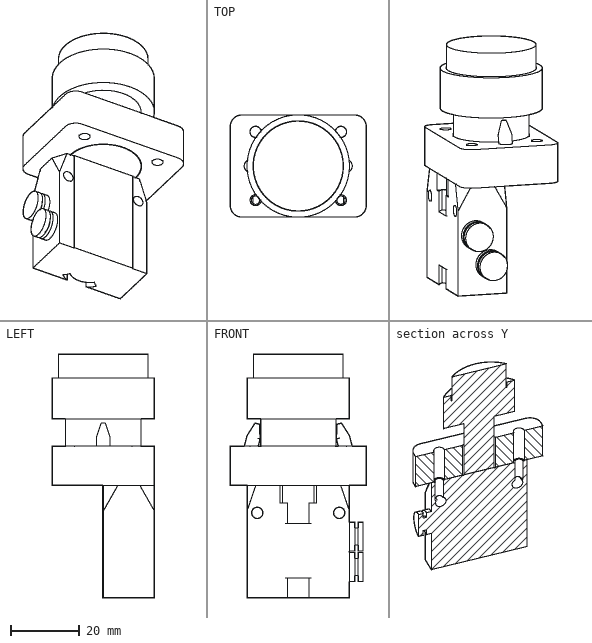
import cadquery as cq
import math

PLATE_LENGTH = 40.0
PLATE_WIDTH = 30.0
PLATE_BOTTOM = 33.0
PLATE_THICKNESS = 11.5
PLATE_TOP = PLATE_BOTTOM + PLATE_THICKNESS
PLATE_CORNER_RADIUS = 3.5
NECK_HOLE_DIAMETER = 22.5
SCREW_HOLE_DIAMETER = 3.2
SCREW_HOLE_X = 12.5
SCREW_HOLE_Y = 10.0

PIN_DIAMETER = 4.0
PIN_TIP_DIAMETER = 1.35
PIN_TILT = 15.0
PIN_CONE_LENGTH = 4.15
PIN_SHOULDER_X = 13.1
PIN_SHOULDER_Z = 47.1
PIN_SHANK_LENGTH = 5.7

NECK_DIAMETER = 22.2
BEZEL_DIAMETER = PLATE_WIDTH
BEZEL_BOTTOM = 52.5
BEZEL_TOP = 64.5
BUTTON_DIAMETER = 26.3
BUTTON_TOP = 71.5
BUTTON_GAP_DIAMETER = 26.5
BUTTON_GAP_DEPTH = 2.0

BLOCK_LENGTH = PLATE_WIDTH
BLOCK_DEPTH = PLATE_WIDTH / 2
BLOCK_FRONT = -BLOCK_DEPTH
BLOCK_HEIGHT = PLATE_BOTTOM
BLOCK_AXIS_Y = -BLOCK_DEPTH / 2
CORNER_CUT_X = 2.6
CORNER_CUT_Y = 4.3
CORNER_CUT_Z = 7.6
BACK_PAD_THICKNESS = 0.2
BACK_PAD_LENGTH = 20.0

CROSS_HOLE_DIAMETER = 3.2
CROSS_HOLE_X = 12.0
CROSS_HOLE_Z = 24.95
PILOT_HOLE_DIAMETER = 2.4
PILOT_HOLE_DEPTH = 7.0

CORE_RADIUS = 6.0
POCKET_RADIUS = 8.15
POCKET_HALF_ANGLE = 44.0
LOWER_POCKET_TOP = 5.85
UPPER_POCKET_BOTTOM = 21.8
NOTCH_BOTTOM = 27.9
NOTCH_LENGTH = 10.65
NOTCH_DEPTH = 3.65

TERMINAL_DIAMETER = 8.5
TERMINAL_NECK_DIAMETER = 5.0
TERMINAL_WASHER_THICKNESS = 1.6
TERMINAL_NECK_LENGTH = 0.9
TERMINAL_HEAD_THICKNESS = 1.5
TERMINAL_STAGGER = 2.2
TERMINAL_PLACES = (
    (BLOCK_AXIS_Y - TERMINAL_STAGGER, 18.0),
    (BLOCK_AXIS_Y + TERMINAL_STAGGER, 9.1),
)


def cylinder(diameter, bottom, top):
    """Vertical cylinder on the push axis."""
    return cq.Workplane("XY").workplane(offset=bottom).circle(diameter / 2).extrude(top - bottom)


def make_pin():
    """Pointed pin on the +X side, leaning inward toward the push axis."""
    profile = [
        (0, -PIN_SHANK_LENGTH),
        (PIN_DIAMETER / 2, -PIN_SHANK_LENGTH),
        (PIN_DIAMETER / 2, 0),
        (PIN_TIP_DIAMETER / 2, PIN_CONE_LENGTH),
        (0, PIN_CONE_LENGTH),
    ]
    upright = cq.Workplane("XZ").polyline(profile).close().revolve(360, (0, 0, 0), (0, 1, 0))
    leaning = upright.rotate((0, 0, 0), (0, 1, 0), -PIN_TILT)
    return leaning.translate((PIN_SHOULDER_X, 0, PIN_SHOULDER_Z))


def make_plate():
    """Rounded plate with a neck hole, four screw holes and two pins."""
    plate = (
        cq.Workplane("XY")
        .workplane(offset=PLATE_BOTTOM)
        .rect(PLATE_LENGTH, PLATE_WIDTH)
        .extrude(PLATE_THICKNESS)
        .edges("|Z")
        .fillet(PLATE_CORNER_RADIUS)
    )
    pin = make_pin()
    plate = plate.union(pin).union(pin.mirror("YZ"))
    screw_holes = (
        cq.Workplane("XY")
        .workplane(offset=PLATE_BOTTOM)
        .rect(2 * SCREW_HOLE_X, 2 * SCREW_HOLE_Y, forConstruction=True)
        .vertices()
        .circle(SCREW_HOLE_DIAMETER / 2)
        .extrude(PLATE_THICKNESS)
    )
    neck_hole = cylinder(NECK_HOLE_DIAMETER, PLATE_BOTTOM, PLATE_TOP)
    return plate.cut(screw_holes).cut(neck_hole)


def make_head():
    """Neck, bezel and raised button, with a thin gap groove around the button."""
    neck = cylinder(NECK_DIAMETER, PLATE_BOTTOM, BEZEL_BOTTOM)
    bezel = cylinder(BEZEL_DIAMETER, BEZEL_BOTTOM, BEZEL_TOP)
    gap = cylinder(BUTTON_GAP_DIAMETER, BEZEL_TOP - BUTTON_GAP_DEPTH, BEZEL_TOP)
    button = cylinder(BUTTON_DIAMETER, BEZEL_TOP - BUTTON_GAP_DEPTH, BUTTON_TOP)
    return neck.union(bezel).cut(gap).union(button)


def make_corner_cut(side_x, side_y):
    """Tetrahedron that slices off one top corner of the contact block."""
    corner = cq.Vector(side_x * BLOCK_LENGTH / 2, BLOCK_AXIS_Y + side_y * BLOCK_DEPTH / 2, BLOCK_HEIGHT)
    along_x = corner - cq.Vector(side_x * CORNER_CUT_X, 0, 0)
    along_y = corner - cq.Vector(0, side_y * CORNER_CUT_Y, 0)
    along_z = corner - cq.Vector(0, 0, CORNER_CUT_Z)
    triangles = [
        (corner, along_x, along_y),
        (corner, along_y, along_z),
        (corner, along_z, along_x),
        (along_x, along_y, along_z),
    ]
    faces = [cq.Face.makeFromWires(cq.Wire.makePolygon(points, close=True)) for points in triangles]
    return cq.Workplane(cq.Solid.makeSolid(cq.Shell.makeShell(faces)))


def make_sector_pocket(bottom, top):
    """Sector about the block axis, facing -Y; it breaks out through the front face."""
    half_angle = math.radians(POCKET_HALF_ANGLE)
    end_x = POCKET_RADIUS * math.sin(half_angle)
    end_y = -POCKET_RADIUS * math.cos(half_angle)
    return (
        cq.Workplane("XY", origin=(0, BLOCK_AXIS_Y, bottom))
        .lineTo(-end_x, end_y)
        .threePointArc((0, -POCKET_RADIUS), (end_x, end_y))
        .close()
        .extrude(top - bottom)
    )


def make_front_pockets():
    """Lower and upper sector pockets and the wide top notch, all around the solid core."""
    notch = (
        cq.Workplane("XY", origin=(0, BLOCK_FRONT + NOTCH_DEPTH / 2, NOTCH_BOTTOM))
        .rect(NOTCH_LENGTH, NOTCH_DEPTH)
        .extrude(BLOCK_HEIGHT - NOTCH_BOTTOM)
    )
    pockets = make_sector_pocket(0, LOWER_POCKET_TOP)
    pockets = pockets.union(make_sector_pocket(UPPER_POCKET_BOTTOM, NOTCH_BOTTOM)).union(notch)
    core = cq.Workplane("XY", origin=(0, BLOCK_AXIS_Y, 0)).circle(CORE_RADIUS).extrude(BLOCK_HEIGHT)
    return pockets.cut(core)


def make_terminal(place_y, height):
    """Grooved terminal screw standing out of the +X side."""
    sections = [
        (TERMINAL_DIAMETER, TERMINAL_WASHER_THICKNESS),
        (TERMINAL_NECK_DIAMETER, TERMINAL_NECK_LENGTH),
        (TERMINAL_DIAMETER, TERMINAL_HEAD_THICKNESS),
    ]
    start_x = BLOCK_LENGTH / 2
    terminal = cq.Workplane("YZ")
    for diameter, length in sections:
        disc = cq.Workplane("YZ", origin=(start_x, place_y, height)).circle(diameter / 2).extrude(length)
        terminal = terminal.add(disc)
        start_x += length
    return terminal.combine()


def make_block():
    """Contact block with cut top corners, holes, front pockets, back pad and terminals."""
    block = (
        cq.Workplane("XY", origin=(0, BLOCK_AXIS_Y, 0))
        .rect(BLOCK_LENGTH, BLOCK_DEPTH)
        .extrude(BLOCK_HEIGHT)
    )
    for side_x in (-1, 1):
        for side_y in (-1, 1):
            block = block.cut(make_corner_cut(side_x, side_y))
    cross_holes = (
        cq.Workplane("XZ")
        .pushPoints([(-CROSS_HOLE_X, CROSS_HOLE_Z), (CROSS_HOLE_X, CROSS_HOLE_Z)])
        .circle(CROSS_HOLE_DIAMETER / 2)
        .extrude(BLOCK_DEPTH)
    )
    pilot_holes = (
        cq.Workplane("XY", origin=(0, 0, BLOCK_HEIGHT))
        .pushPoints([(-SCREW_HOLE_X, -SCREW_HOLE_Y), (SCREW_HOLE_X, -SCREW_HOLE_Y)])
        .circle(PILOT_HOLE_DIAMETER / 2)
        .extrude(-PILOT_HOLE_DEPTH)
    )
    back_pad = (
        cq.Workplane("XY", origin=(0, BACK_PAD_THICKNESS / 2, 0))
        .rect(BACK_PAD_LENGTH, BACK_PAD_THICKNESS)
        .extrude(BLOCK_HEIGHT)
    )
    block = block.cut(cross_holes).cut(pilot_holes).cut(make_front_pockets()).union(back_pad)
    for place_y, height in TERMINAL_PLACES:
        block = block.union(make_terminal(place_y, height))
    return block


head = make_head()
plate = make_plate()
block = make_block()

result = cq.Compound.makeCompound([head.val(), plate.val(), block.val()])